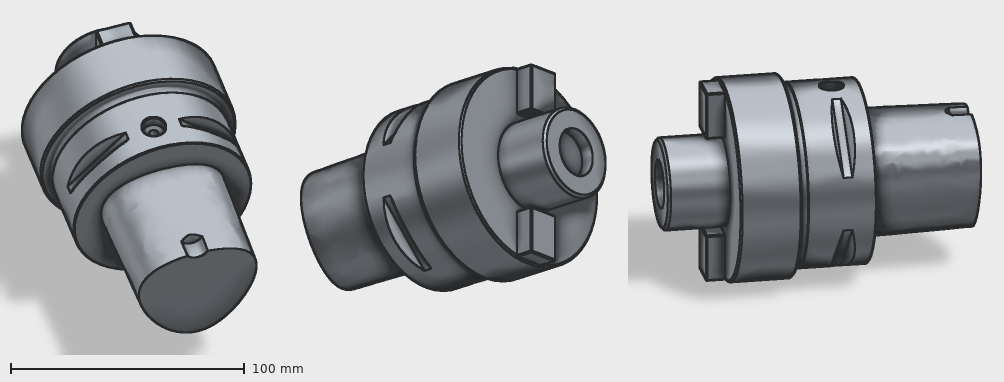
import cadquery as cq
import math

total_length = 135.0
pilot_length = 27.0
flange_end = 53.9
groove_end = 57.1
body_end = 87.0
taper_length = total_length - body_end

pilot_diameter = 40.0
bore_diameter = 21.0
bore_depth = 6.1
flange_diameter = 88.0
groove_diameter = 79.4
body_diameter = 80.0

pilot_chamfer = 1.2
flange_chamfer = 0.8
body_chamfer = 0.4
groove_fillet = 0.8

key_width = 15.7
key_projection = 8.2
key_inner = 22.1
key_outer = 42.9
key_chamfer = 0.5

slot_x = 74.8
slot_floor_distance = 35.5
slot_floor_width = 3.8
slot_mouth_width = 8.8
slot_angles = (45, 135, 225, 315)

pocket_diameter = 10.0
pocket_depth = 5.0
pocket_chamfer = 0.34
dimple_diameter = 4.0
dimple_depth = 1.2

taper_ratio = 1 / 20
taper_large_radius = 27.4
taper_small_radius = taper_large_radius - taper_length * taper_ratio / 2
lobe_eccentricity = 2.0
lobe_curve_points = 36

notch_diameter = 10.8
notch_length = 8.2
notch_axis_z = 26.9
drill_point_angle = 106


def turned_body():
    """Pilot, flange, groove and body revolved about X."""
    pilot_r = pilot_diameter / 2
    flange_r = flange_diameter / 2
    groove_r = groove_diameter / 2
    body_r = body_diameter / 2
    fillet_mid = groove_fillet * (1 - math.sqrt(0.5))
    return (
        cq.Workplane("XY")
        .lineTo(0, pilot_r - pilot_chamfer)
        .lineTo(pilot_chamfer, pilot_r)
        .lineTo(pilot_length, pilot_r)
        .lineTo(pilot_length, flange_r - flange_chamfer)
        .lineTo(pilot_length + flange_chamfer, flange_r)
        .lineTo(flange_end - flange_chamfer, flange_r)
        .lineTo(flange_end, flange_r - flange_chamfer)
        .lineTo(flange_end, groove_r + groove_fillet)
        .threePointArc(
            (flange_end + fillet_mid, groove_r + fillet_mid),
            (flange_end + groove_fillet, groove_r),
        )
        .lineTo(groove_end, groove_r)
        .lineTo(groove_end + body_r - groove_r, body_r)
        .lineTo(body_end - body_chamfer, body_r)
        .lineTo(body_end, body_r - body_chamfer)
        .lineTo(body_end, 0)
        .close()
        .revolve(360, (0, 0, 0), (1, 0, 0))
    )


def lobe_points(mean_radius):
    """Points (Y, Z) of the rounded triangle, with one lobe pointing to -Z."""
    points = []
    for i in range(lobe_curve_points):
        angle = 2 * math.pi * i / lobe_curve_points
        y = mean_radius * math.sin(angle) + lobe_eccentricity * math.sin(2 * angle)
        z = mean_radius * math.cos(angle) - lobe_eccentricity * math.cos(2 * angle)
        points.append((y, z))
    return points


def polygon_taper():
    """Three-lobed shank lofted from the body face to the end."""
    return (
        cq.Workplane("YZ", origin=(body_end, 0, 0))
        .spline(lobe_points(taper_large_radius), periodic=True)
        .close()
        .workplane(offset=taper_length)
        .spline(lobe_points(taper_small_radius), periodic=True)
        .close()
        .loft(ruled=True)
    )


def drive_key():
    """Upper key, rooted in the flange so that it meets the chamfered rim."""
    length = key_projection + flange_chamfer
    height = key_outer - key_inner
    return (
        cq.Workplane("XY")
        .box(length, key_width, height, centered=(False, True, False))
        .edges("<X or |X")
        .chamfer(key_chamfer)
        .translate((pilot_length - key_projection, 0, key_inner))
    )


def gripper_slot(angle):
    """Flared straight slot across the body, turned about X."""
    rim = body_diameter / 2
    floor_half = slot_floor_width / 2
    mouth_half = slot_mouth_width / 2
    return (
        cq.Workplane("XZ")
        .moveTo(slot_x - floor_half, slot_floor_distance)
        .lineTo(slot_x + floor_half, slot_floor_distance)
        .lineTo(slot_x + mouth_half, rim)
        .lineTo(slot_x - mouth_half, rim)
        .close()
        .extrude(rim, both=True)
        .rotate((0, 0, 0), (1, 0, 0), angle)
    )


def top_pocket():
    """Stepped profile revolved about a vertical axis."""
    pocket_r = pocket_diameter / 2
    rim = body_diameter / 2
    floor = rim - pocket_depth
    side_rim = math.sqrt(rim**2 - pocket_r**2)
    return (
        cq.Workplane("XZ", origin=(slot_x, 0, 0))
        .moveTo(0, floor - dimple_depth)
        .lineTo(dimple_diameter / 2, floor)
        .lineTo(pocket_r, floor)
        .lineTo(pocket_r, side_rim - pocket_chamfer)
        .lineTo(pocket_r + pocket_chamfer, side_rim)
        .lineTo(pocket_r + pocket_chamfer, rim)
        .lineTo(0, rim)
        .close()
        .revolve(360, (0, 0, 0), (0, 1, 0))
    )


def end_notch():
    """Drill shape along X with a conical point."""
    notch_r = notch_diameter / 2
    point_length = notch_r / math.tan(math.radians(drill_point_angle / 2))
    shoulder = total_length - notch_length
    return (
        cq.Workplane("XZ", origin=(0, 0, notch_axis_z))
        .moveTo(shoulder - point_length, 0)
        .lineTo(shoulder, notch_r)
        .lineTo(total_length, notch_r)
        .lineTo(total_length, 0)
        .close()
        .revolve(360, (0, 0, 0), (1, 0, 0))
    )


result = turned_body().union(polygon_taper())

upper_key = drive_key()
lower_key = upper_key.rotate((0, 0, 0), (1, 0, 0), 180)
result = result.union(upper_key).union(lower_key)

bore = cq.Workplane("YZ").circle(bore_diameter / 2).extrude(bore_depth)
result = result.cut(bore).cut(top_pocket()).cut(end_notch())

for slot_angle in slot_angles:
    result = result.cut(gripper_slot(slot_angle))